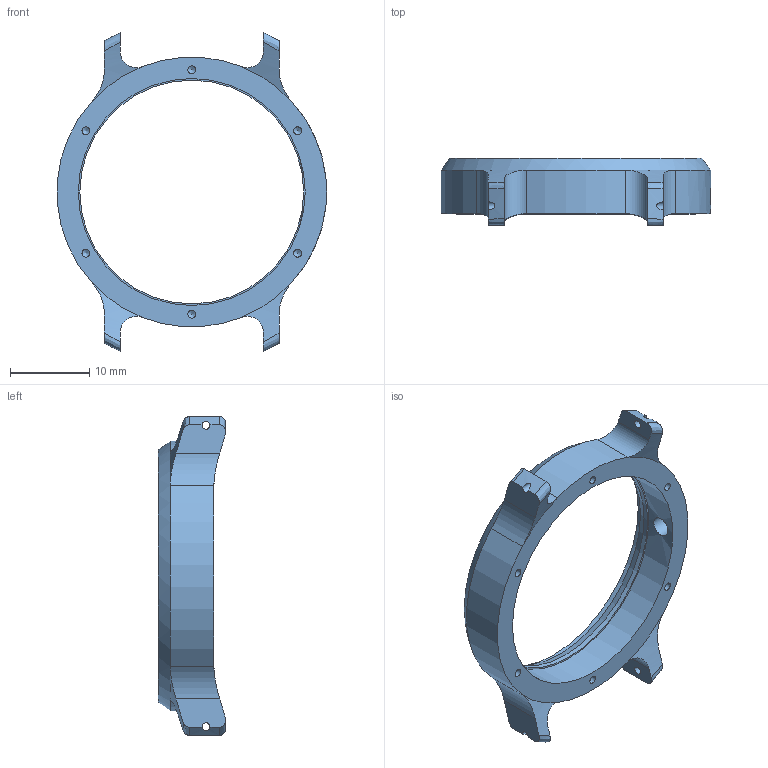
import cadquery as cq
import math

case_radius = 17.0
case_depth = 7.0
bevel_depth = 1.5
bevel_width = 1.1
lug_root_depth = case_depth - bevel_depth

bore_radius = 14.3
bore_depth = 4.3
lip_radius = 14.1
lip_depth = 0.65
cone_depth = 1.0
cone_angle = 21.0
recess_radius = 15.1

screw_count = 6
screw_circle_radius = 15.4
screw_hole_diameter = 1.0
screw_hole_depth = 2.0
drill_point_angle = 118.0

crown_hole_diameter = 2.5
crown_hole_y = 2.15

lug_inner_x = 9.0
lug_outer_x = 11.0
lug_tip_radius = 22.0
lug_lean_angle = 20.0
lug_tip_fillet = 0.8
lug_inner_blend = 2.0
lug_outer_blend = 6.0

bar_hole_diameter = 1.0
bar_hole_y = 1.0
bar_hole_z = 19.0


def revolved(profile):
    """Solid of revolution about the Y axis from (radius, y) points."""
    return cq.Workplane("XY").polyline(profile).close().revolve(360, (0, 0, 0), (0, 1, 0))


def case_blank():
    """Solid disc with a beveled back edge."""
    return revolved([
        (0, 0),
        (case_radius, 0),
        (case_radius, lug_root_depth),
        (case_radius - bevel_width, case_depth),
        (0, case_depth),
    ])


def lug_flange():
    """Disc whose conical rim gives the lugs their lean and rounded tips."""
    lean = (lug_tip_radius - case_radius) * math.tan(math.radians(lug_lean_angle))
    flange = revolved([
        (0, 0),
        (case_radius, 0),
        (lug_tip_radius, -lean),
        (lug_tip_radius, lug_root_depth - lean),
        (case_radius, lug_root_depth),
        (0, lug_root_depth),
    ])
    tip_edges = cq.selectors.RadiusNthSelector(-1)
    return flange.edges("%CIRCLE").edges(tip_edges).fillet(lug_tip_fillet)


def blend_points(center_x, blend_radius):
    """Center height of a round touching the case, and its touching point on the case."""
    reach = case_radius + blend_radius
    center_z = math.sqrt(reach**2 - center_x**2)
    shrink = case_radius / reach
    return center_z, (center_x * shrink, center_z * shrink)


def lug_column():
    """Prism along Y with the front outline of the +X +Z lug, taller than the lug."""
    inner_z, inner_on_case = blend_points(lug_inner_x - lug_inner_blend, lug_inner_blend)
    outer_z, outer_on_case = blend_points(lug_outer_x + lug_outer_blend, lug_outer_blend)
    outline = (
        cq.Workplane("XZ")
        .moveTo(lug_inner_x, lug_tip_radius)
        .lineTo(lug_inner_x, inner_z)
        .tangentArcPoint(inner_on_case, relative=False)
        .lineTo(*outer_on_case)
        .radiusArc((lug_outer_x, outer_z), lug_outer_blend)
        .lineTo(lug_outer_x, lug_tip_radius)
        .close()
    )
    return outline.extrude(case_depth, both=True)


def lugs():
    """Four lugs mirrored about the X and Z axes."""
    upper_right = lug_flange().intersect(lug_column())
    upper = upper_right.union(upper_right.mirror("YZ"))
    return upper.union(upper.mirror("XY"))


def bore():
    """Stepped through bore that opens toward the back."""
    lip_end = bore_depth + lip_depth
    cone_end = lip_end + cone_depth
    cone_end_radius = lip_radius + cone_depth * math.tan(math.radians(cone_angle))
    return revolved([
        (0, 0),
        (bore_radius, 0),
        (bore_radius, bore_depth),
        (lip_radius, bore_depth),
        (lip_radius, lip_end),
        (cone_end_radius, cone_end),
        (recess_radius, cone_end),
        (recess_radius, case_depth),
        (0, case_depth),
    ])


def screw_holes():
    """Ring of pointed blind holes, the first one at the top of the case."""
    hole_radius = screw_hole_diameter / 2
    point_depth = hole_radius / math.tan(math.radians(drill_point_angle / 2))
    drill = revolved([
        (0, 0),
        (hole_radius, 0),
        (hole_radius, screw_hole_depth),
        (0, screw_hole_depth + point_depth),
    ]).translate((0, 0, screw_circle_radius))
    holes = cq.Workplane("XY")
    for index in range(screw_count):
        angle = index * 360 / screw_count
        holes = holes.add(drill.rotate((0, 0, 0), (0, 1, 0), angle))
    return holes.combine()


def crown_hole():
    """Radial hole from the axis out through the +X wall."""
    hole = cq.Workplane("YZ").center(crown_hole_y, 0).circle(crown_hole_diameter / 2)
    return hole.extrude(case_radius)


def bar_holes():
    """Holes along X through the upper and the lower pair of lugs."""
    places = [(bar_hole_y, bar_hole_z), (bar_hole_y, -bar_hole_z)]
    holes = cq.Workplane("YZ").pushPoints(places).circle(bar_hole_diameter / 2)
    return holes.extrude(lug_tip_radius, both=True)


result = case_blank().union(lugs())
for void in (bore(), screw_holes(), crown_hole(), bar_holes()):
    result = result.cut(void)